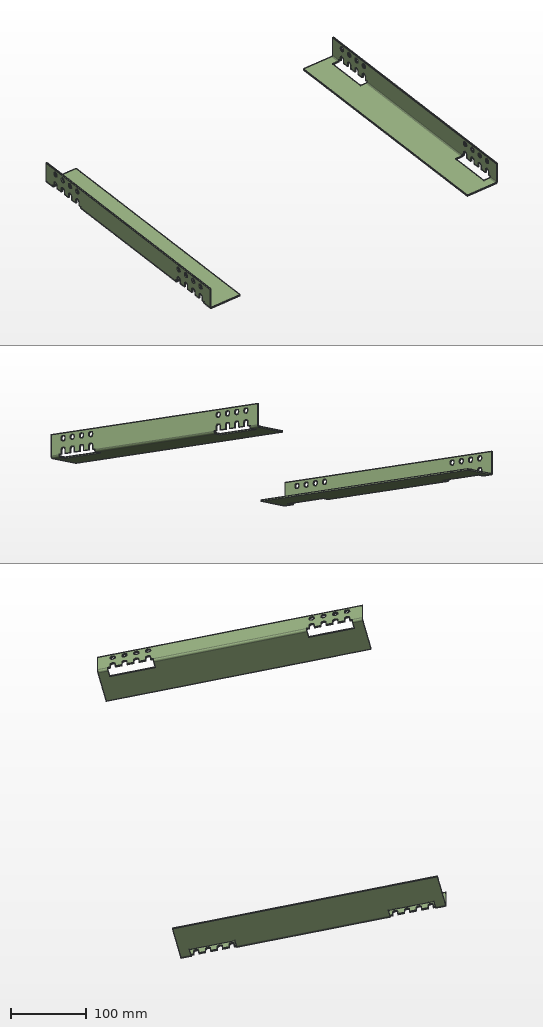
import cadquery as cq

RAIL_LENGTH = 360.0
PAIR_WIDTH = 476.0
WALL_HEIGHT = 32.0
BASE_DEPTH = 50.0
THICKNESS = 2.0
INNER_BEND_RADIUS = 1.1
OUTER_BEND_RADIUS = INNER_BEND_RADIUS + THICKNESS

GROUP_OFFSET = 135.0
HOLES_PER_GROUP = 4
HOLE_ROW_SPAN = 48.0
HOLE_PITCH = HOLE_ROW_SPAN / (HOLES_PER_GROUP - 1)
HOLE_RADIUS = 3.47
ROUND_HOLE_HEIGHT = 24.8
SLOT_CENTER_HEIGHT = 9.0

WINDOW_LENGTH = 62.0
WINDOW_DEPTH = 12.5
WINDOW_HEIGHT = 4.0

GROUP_CENTERS = [-GROUP_OFFSET, GROUP_OFFSET]
HOLE_CENTERS = [
    group_x + (index - (HOLES_PER_GROUP - 1) / 2) * HOLE_PITCH
    for group_x in GROUP_CENTERS
    for index in range(HOLES_PER_GROUP)
]
OUTER_FACE_Y = -PAIR_WIDTH / 2


def make_angle():
    """Plain L-section with a rounded bend, its wall on the -Y side and its underside at Z = 0."""
    sharp_angle = (
        cq.Workplane("YZ", origin=(-RAIL_LENGTH / 2, OUTER_FACE_Y, 0))
        .moveTo(0, 0)
        .lineTo(BASE_DEPTH, 0)
        .lineTo(BASE_DEPTH, THICKNESS)
        .lineTo(THICKNESS, THICKNESS)
        .lineTo(THICKNESS, WALL_HEIGHT)
        .lineTo(0, WALL_HEIGHT)
        .close()
        .extrude(RAIL_LENGTH)
    )
    outer_corner = (0, OUTER_FACE_Y, 0)
    inner_corner = (0, OUTER_FACE_Y + THICKNESS, THICKNESS)
    return (
        sharp_angle
        .edges(cq.selectors.NearestToPointSelector(outer_corner))
        .fillet(OUTER_BEND_RADIUS)
        .edges(cq.selectors.NearestToPointSelector(inner_corner))
        .fillet(INNER_BEND_RADIUS)
    )


def make_windows():
    """Cutters that open the bend, taking the foot of the wall and a strip of the base."""
    return (
        cq.Workplane("XY", origin=(0, OUTER_FACE_Y, 0))
        .pushPoints([(x, WINDOW_DEPTH / 2) for x in GROUP_CENTERS])
        .rect(WINDOW_LENGTH, WINDOW_DEPTH)
        .extrude(WINDOW_HEIGHT)
    )


def wall_plane():
    """XZ workplane on the inner face of the wall; extrusions run outward through it."""
    return cq.Workplane("XZ", origin=(0, OUTER_FACE_Y + THICKNESS, 0))


def make_wall_holes():
    """Cutters for the upper row of round holes."""
    return (
        wall_plane()
        .pushPoints([(x, ROUND_HOLE_HEIGHT) for x in HOLE_CENTERS])
        .circle(HOLE_RADIUS)
        .extrude(THICKNESS)
    )


def make_wall_slots():
    """Cutters for the lower row of round-topped slots, open down into the windows."""
    round_tops = (
        wall_plane()
        .pushPoints([(x, SLOT_CENTER_HEIGHT) for x in HOLE_CENTERS])
        .circle(HOLE_RADIUS)
        .extrude(THICKNESS)
    )
    straight_sides = (
        wall_plane()
        .pushPoints([(x, SLOT_CENTER_HEIGHT / 2) for x in HOLE_CENTERS])
        .rect(2 * HOLE_RADIUS, SLOT_CENTER_HEIGHT)
        .extrude(THICKNESS)
    )
    return round_tops.union(straight_sides)


def make_rail():
    """One finished rail on the -Y side."""
    return (
        make_angle()
        .cut(make_windows())
        .cut(make_wall_holes())
        .cut(make_wall_slots())
    )


rails = [
    make_rail().rotate((0, 0, 0), (0, 0, 1), angle)
    for angle in (0, 180)
]

result = cq.Compound.makeCompound([rail.val() for rail in rails])